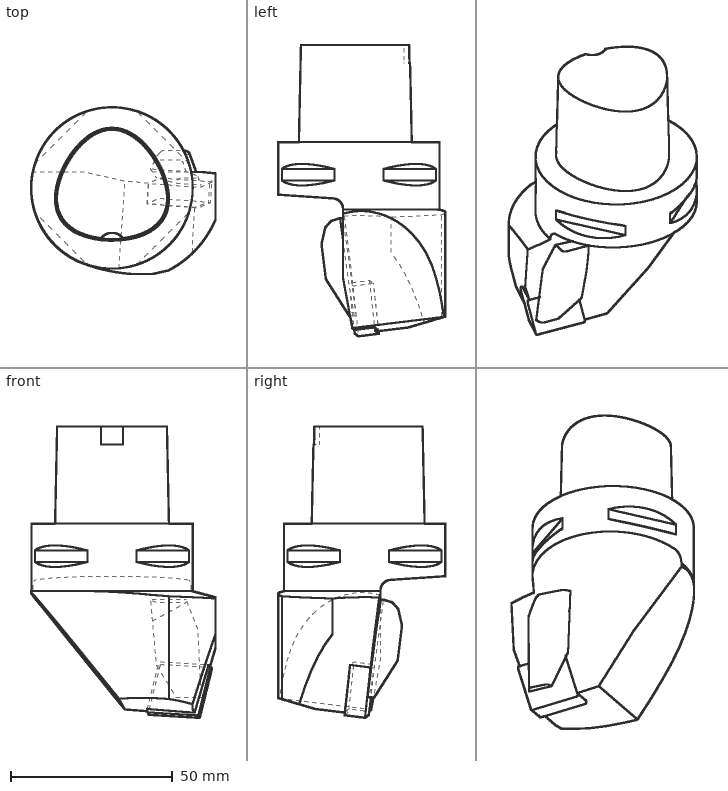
import cadquery as cq
import math

flange_radius = 24.9
flange_height = 20.9
shank_height = 30.0
far = 135.0

shank_base_radius = 17.5
shank_top_radius = 16.8
lobe_amplitude = 1.125
shank_lobes = 3
lobe_half_angle = 29.0
arc_steps = 6
key_radius = 4.2
key_depth = 5.6
key_top_y = -13.9

groove_count = 4
groove_z = -10.1
groove_mouth = 6.7
groove_floor = 3.5
groove_floor_distance = 22.1

head_radius = 25.0
head_right = 31.95
head_front = -26.6
head_bottom = -63.0
head_back = 4.95
cone_reach = 18.0
shoulder_slope = 15.0
relief_radius = 3.195
relief_corner_z = -17.6
relief_edge_z = -16.3

chip_corner = (4.0, 2.1, -57.4)
front_corner = (2.0, head_front, -53.9)
flank_top = (-head_radius, 0, -21.3)
heel_corner = (25.2, -15.0, -57.3)
heel_top = (24.8, -20.0, -55.8)
side_front = (head_right, -9.9, -34.2)
side_back = (head_right, 4.6, -39.2)
head_core = cq.Vector(13.5, -9, -36)

seat_origin = cq.Vector(-8.8, head_back, -41.85)
seat_normal = cq.Vector(0.07, 1, -0.127).normalized()

insert_corner_x = 27.1
insert_corner_z = -60.0
insert_edge_rise = 0.06
insert_edge = 16.1
insert_angle = 100.0
insert_thickness = 6.4
insert_nose_radius = 0.5

clamp_footprint = [(9.0, -18.0), (22.95, -18.0), (27.8, -32.4), (27.8, -58.5), (22.5, -58.5), (12.6, -44.1)]
clamp_side_taper = 20.0
clamp_profile = [(0, -23.5), (5.85, -23.5), (8.55, -24.3), (10.4, -26.4), (11.6, -31.5),
                 (10.3, -42.3), (3.1, -53.6), (0, -53.6)]
clamp_height = 13.5
clamp_edge_radius = 1.35


def half_space(origin, normal):
    """A large block on the side of a plane that the normal points to."""
    return cq.Workplane(cq.Plane(origin, normal=normal)).rect(2 * far, 2 * far).extrude(far)


def outside_plane(first, second, third):
    """Half space beyond the plane of three points, on the side away from the head's core."""
    origin = cq.Vector(first)
    normal = (cq.Vector(second) - origin).cross(cq.Vector(third) - origin)
    if normal.dot(head_core - origin) > 0:
        normal = normal * -1
    return half_space(origin, normal)


def lobed_point(mean_radius, angle):
    return (
        -mean_radius * math.sin(angle) + lobe_amplitude * math.sin(2 * angle),
        mean_radius * math.cos(angle) + lobe_amplitude * math.cos(2 * angle),
    )


def lobed_tangent(mean_radius, angle):
    return (
        -mean_radius * math.cos(angle) + 2 * lobe_amplitude * math.cos(2 * angle),
        -mean_radius * math.sin(angle) - 2 * lobe_amplitude * math.sin(2 * angle),
    )


def draw_lobed_outline(workplane, mean_radius):
    """Closed outline of alternating lobe arcs and flatter arcs that join smoothly."""
    half_lobe = math.radians(lobe_half_angle)
    pitch = 2 * math.pi / shank_lobes
    bounds = []
    for lobe in range(shank_lobes):
        bounds += [lobe * pitch - half_lobe, lobe * pitch + half_lobe]
    bounds.append(bounds[0] + 2 * math.pi)
    outline = workplane.moveTo(*lobed_point(mean_radius, bounds[0]))
    for start, end in zip(bounds, bounds[1:]):
        step = (end - start) / arc_steps
        points = [lobed_point(mean_radius, start + step * index) for index in range(1, arc_steps + 1)]
        tangents = [lobed_tangent(mean_radius, start), lobed_tangent(mean_radius, end)]
        outline = outline.spline(points, tangents=tangents, includeCurrent=True)
    return outline.close()


def make_shank():
    base = draw_lobed_outline(cq.Workplane("XY"), shank_base_radius)
    shank = draw_lobed_outline(base.workplane(offset=shank_height), shank_top_radius).loft(ruled=True)
    key_slot = (
        cq.Workplane("XY", origin=(0, key_top_y - key_radius, shank_height))
        .circle(key_radius).extrude(-key_depth)
    )
    return shank.cut(key_slot)


def make_flange():
    flange = cq.Workplane("XY").circle(flange_radius).extrude(-flange_height)
    groove = (
        cq.Workplane("XZ")
        .moveTo(groove_floor_distance, groove_z - groove_floor / 2)
        .lineTo(flange_radius, groove_z - groove_mouth / 2)
        .lineTo(flange_radius, groove_z + groove_mouth / 2)
        .lineTo(groove_floor_distance, groove_z + groove_floor / 2)
        .close().extrude(flange_radius, both=True)
    )
    for index in range(groove_count):
        flange = flange.cut(groove.rotate((0, 0, 0), (0, 0, 1), (index + 0.5) * 360 / groove_count))
    return flange


def make_head():
    blend_x = -7.3
    blend_y = -math.sqrt(head_radius**2 - blend_x**2)
    back_x = -math.sqrt(head_radius**2 - head_back**2)
    arc_point = (-head_radius * math.cos(math.pi / 4), -head_radius * math.sin(math.pi / 4))
    head = (
        cq.Workplane("XY", origin=(0, 0, head_bottom))
        .moveTo(back_x, head_back)
        .threePointArc(arc_point, (blend_x, blend_y))
        .lineTo(-4.3, -24.8)
        .threePointArc((1.1, -26.0), (6.5, head_front))
        .lineTo(12.4, head_front)
        .lineTo(17.55, -25.5)
        .threePointArc((25.65, -19.35), (head_right, side_front[1]))
        .lineTo(head_right, head_back)
        .close().extrude(-flange_height - head_bottom)
    )
    cone_drop = cone_reach * math.tan(math.radians(shoulder_slope))
    shoulder = (
        cq.Workplane("XZ")
        .moveTo(head_radius, -flange_height)
        .lineTo(head_radius + cone_reach, -flange_height)
        .lineTo(head_radius + cone_reach, -flange_height - cone_drop)
        .close().revolve(360, (0, 0, 0), (0, 1, 0))
    )
    head = head.cut(shoulder)
    head = head.cut(outside_plane(flank_top, chip_corner, front_corner))
    head = head.cut(outside_plane(chip_corner, front_corner, heel_corner))
    head = head.cut(outside_plane(front_corner, heel_corner, heel_top))
    head = head.cut(outside_plane(side_front, side_back, heel_top))
    return head.cut(half_space(seat_origin, seat_normal))


def make_relief():
    """Chip space behind the head, with a rounded corner under the flange."""
    return (
        cq.Workplane("YZ")
        .moveTo(head_back, relief_corner_z)
        .lineTo(flange_radius, relief_edge_z)
        .lineTo(flange_radius, head_bottom)
        .lineTo(head_back, head_bottom)
        .close().extrude(far / 2, both=True)
        .edges(cq.selectors.NearestToPointSelector((0, head_back, relief_corner_z)))
        .fillet(relief_radius)
    )


def make_clamp():
    """Bar with sloping sides that points toward the insert's corner."""
    profile = (
        cq.Workplane("YZ")
        .polyline(clamp_profile).close().extrude(far)
    )
    bar = (
        cq.Workplane("XZ")
        .polyline(clamp_footprint).close()
        .extrude(-clamp_height, taper=clamp_side_taper)
    )
    upper_edges = cq.selectors.BoxSelector((0, 3.6, -51.3), (far, clamp_height, -25.2))
    clamp = bar.intersect(profile).edges(upper_edges).fillet(clamp_edge_radius)
    return clamp.intersect(half_space(seat_origin, seat_normal))


def make_insert():
    offset_x = insert_corner_x - seat_origin.x
    offset_z = insert_corner_z - seat_origin.z
    corner_y = seat_origin.y - (seat_normal.x * offset_x + seat_normal.z * offset_z) / seat_normal.y
    edge_y = (seat_normal.x - seat_normal.z * insert_edge_rise) / seat_normal.y
    edge_direction = cq.Vector(-1, edge_y, insert_edge_rise)
    corner = cq.Vector(insert_corner_x, corner_y, insert_corner_z)
    plane = cq.Plane(corner, xDir=edge_direction, normal=seat_normal)
    side_x = insert_edge * math.cos(math.radians(insert_angle))
    side_y = insert_edge * math.sin(math.radians(insert_angle))
    return (
        cq.Workplane(plane)
        .polyline([(0, 0), (insert_edge, 0), (insert_edge + side_x, side_y), (side_x, side_y)])
        .close().extrude(-insert_thickness)
        .edges(cq.selectors.ParallelDirSelector(seat_normal)).fillet(insert_nose_radius)
    )


insert = make_insert()
holder = make_flange().union(make_head()).cut(make_relief())
holder = holder.union(make_shank()).union(make_clamp()).cut(insert)

result = cq.Compound.makeCompound([holder.val(), insert.val()])